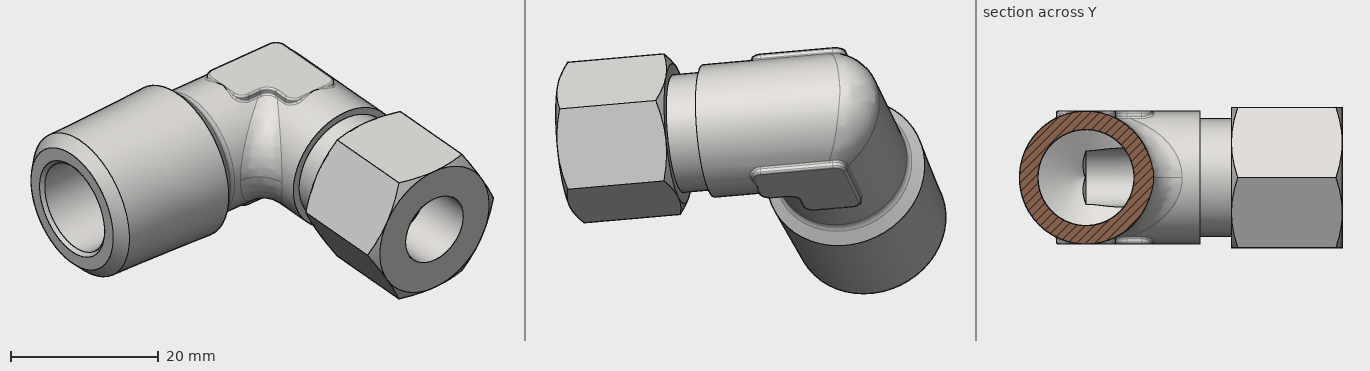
import cadquery as cq
import math


overall_length = 45.95

body_radius = 9.0
outer_bend_radius = body_radius / 2
inner_bend_radius = 4.0

thread_radius = 10.95
taper_start = 16.6
shoulder_angle = math.radians(45)
taper_slope = 1 / 32
thread_end_chamfer = 1.55
shoulder_fillet = 1.55
bore_radius = 6.5
bore_mouth_chamfer = 0.5
drill_tip_slope = math.tan(math.radians(31))

body_leg_length = 15.45
stud_radius = 8.0
stud_end = 26.5
tube_bore_radius = 4.0

pad_half_width = 4.0
pad_end = body_radius
pad_corner_radius = 1.5
pad_edge_fillet = 0.3

nut_end = 34.65
nut_length = 15.0
nut_across_flats = 19.0
nut_chamfer_angle = 30
nut_tube_hole_radius = 5.0

nut_start = nut_end - nut_length
nut_corner_radius = nut_across_flats / 2 / math.cos(math.pi / 6)
thread_leg_length = overall_length - nut_corner_radius


def make_pad():
    """Rounded L-shaped block whose flat top is tangent to both legs."""
    outline = [
        (-pad_half_width, pad_half_width),
        (pad_end, pad_half_width),
        (pad_end, -pad_half_width),
        (pad_half_width, -pad_half_width),
        (pad_half_width, -pad_end),
        (-pad_half_width, -pad_end),
    ]
    pad = cq.Workplane("XY").polyline(outline).close().extrude(body_radius)
    pad = pad.edges("|Z").fillet(pad_corner_radius)
    return pad.faces(">Z").edges().fillet(pad_edge_fillet)


def fillet_mitre(bend, side, radius):
    """Round the mitre between the legs: side -1 is outside the bend, side 1 inside it."""
    near = (0, 0, -body_radius)
    far = (side * body_radius, -side * body_radius, body_radius)
    mitre = cq.selectors.BoxSelector(near, far)
    return bend.edges("%ELLIPSE").edges(mitre).fillet(radius)


def fillet_pad_root(bend, side):
    """Round the line where a pad meets the bend: side 1 is the upper pad, -1 the lower one."""
    margin = 0.05
    wall_height = body_radius - math.sqrt(body_radius**2 - pad_half_width**2)
    root_low = body_radius - wall_height - margin
    root_high = body_radius - pad_edge_fillet - margin / 2
    low_corner = (-pad_half_width - margin, -pad_end - margin, side * root_low)
    high_corner = (pad_end + margin, pad_half_width + margin, side * root_high)
    root = cq.selectors.BoxSelector(low_corner, high_corner, boundingbox=True)
    upright = cq.selectors.ParallelDirSelector(cq.Vector(0, 0, 1))
    return bend.edges(root - upright).fillet(pad_edge_fillet)


def make_bend():
    """Two mitred cylinders with a rounded bend and the two pads."""
    path = (
        cq.Workplane("XY").moveTo(0, -taper_start).lineTo(0, 0).lineTo(body_leg_length, 0)
    )
    leg_end = cq.Workplane("XZ", origin=(0, -taper_start, 0)).circle(body_radius)
    bend = leg_end.sweep(path, transition="right")
    pad = make_pad()
    bend = bend.union(pad).union(pad.mirror("XY"))
    bend = fillet_mitre(bend, -1, outer_bend_radius)
    bend = fillet_mitre(bend, 1, inner_bend_radius)
    for side in (1, -1):
        bend = fillet_pad_root(bend, side)
    return bend


def make_thread_end():
    """Taper thread with its conical shoulder, fillet to the leg and end chamfer."""
    shoulder_start = taper_start - (thread_radius - body_radius) / math.tan(shoulder_angle)
    fillet_reach = shoulder_fillet * math.tan(shoulder_angle / 2)
    fillet_start = shoulder_start - fillet_reach
    arc_middle = (
        body_radius + shoulder_fillet * (1 - math.cos(shoulder_angle / 2)),
        -fillet_start - shoulder_fillet * math.sin(shoulder_angle / 2),
    )
    arc_end = (
        body_radius + fillet_reach * math.sin(shoulder_angle),
        -shoulder_start - fillet_reach * math.cos(shoulder_angle),
    )
    chamfer_start = thread_leg_length - thread_end_chamfer
    taper_end_radius = thread_radius - (chamfer_start - taper_start) * taper_slope
    profile = (
        cq.Workplane("XY")
        .moveTo(0, -fillet_start)
        .lineTo(body_radius, -fillet_start)
        .threePointArc(arc_middle, arc_end)
        .lineTo(thread_radius, -taper_start)
        .lineTo(taper_end_radius, -chamfer_start)
        .lineTo(taper_end_radius - thread_end_chamfer, -thread_leg_length)
        .lineTo(0, -thread_leg_length)
        .close()
    )
    return profile.revolve(360, (0, 0, 0), (0, 1, 0))


def make_stud():
    """Plain round stud on the tube leg that enters the nut."""
    stud = cq.Workplane("YZ", origin=(body_leg_length, 0, 0))
    return stud.circle(stud_radius).extrude(stud_end - body_leg_length)


def make_thread_bore():
    """Drilled hole from the thread end, with a mouth chamfer and a conical tip."""
    profile = (
        cq.Workplane("XY")
        .moveTo(0, bore_radius * drill_tip_slope)
        .lineTo(bore_radius, 0)
        .lineTo(bore_radius, -thread_leg_length + bore_mouth_chamfer)
        .lineTo(bore_radius + bore_mouth_chamfer, -thread_leg_length)
        .lineTo(0, -thread_leg_length)
        .close()
    )
    return profile.revolve(360, (0, 0, 0), (0, 1, 0))


def make_tube_bore():
    """Drilled hole from the stud end to the bend, with a conical tip."""
    profile = (
        cq.Workplane("XY")
        .moveTo(-tube_bore_radius * drill_tip_slope, 0)
        .lineTo(0, tube_bore_radius)
        .lineTo(stud_end, tube_bore_radius)
        .lineTo(stud_end, 0)
        .close()
    )
    return profile.revolve(360, (0, 0, 0), (1, 0, 0))


def make_elbow():
    elbow = make_bend().union(make_thread_end()).union(make_stud())
    return elbow.cut(make_thread_bore()).cut(make_tube_bore())


def make_nut():
    """Hexagon with flats above and below and both ends chamfered, bored for the stud and the tube."""
    face_radius = nut_across_flats / 2
    chamfer_length = (nut_corner_radius - face_radius) * math.tan(math.radians(nut_chamfer_angle))
    hexagon = (
        cq.Workplane("YZ", origin=(nut_start, 0, 0))
        .polygon(6, 2 * nut_corner_radius)
        .extrude(nut_length)
    )
    chamfered_bar = (
        cq.Workplane("XY")
        .moveTo(nut_start, 0)
        .lineTo(nut_start, face_radius)
        .lineTo(nut_start + chamfer_length, nut_corner_radius)
        .lineTo(nut_end - chamfer_length, nut_corner_radius)
        .lineTo(nut_end, face_radius)
        .lineTo(nut_end, 0)
        .close()
        .revolve(360, (0, 0, 0), (1, 0, 0))
    )
    start_plane = cq.Workplane("YZ", origin=(nut_start, 0, 0))
    stud_hole = start_plane.circle(stud_radius).extrude(stud_end - nut_start)
    tube_hole = start_plane.circle(nut_tube_hole_radius).extrude(nut_length)
    return hexagon.intersect(chamfered_bar).cut(stud_hole).cut(tube_hole)


elbow = make_elbow()
nut = make_nut()
result = cq.Compound.makeCompound([elbow.val(), nut.val()])